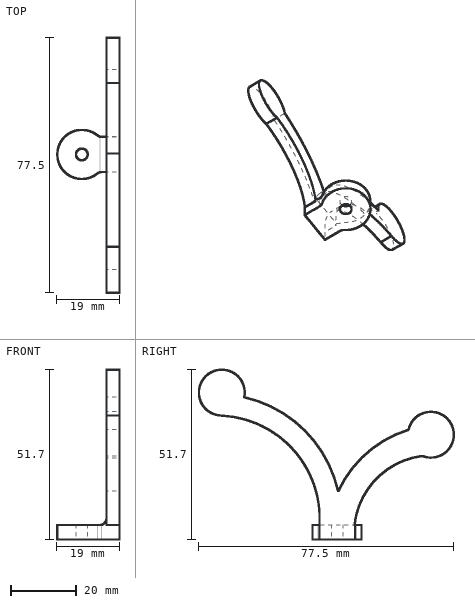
import cadquery as cq
import math

pad_radius = 7.5
foot_thickness = 4.5
hole_diameter = 3.5
neck_half_width = 5.4
neck_fillet = 2.0
selection_margin = 0.1

total_depth = 18.96
wall_thickness = 4.0
wall_back_x = total_depth - pad_radius
wall_front_x = wall_back_x - wall_thickness
foot_fillet = 2.0

knob_radius = 7.0
total_width = 77.52
total_height = 51.69
knob_spacing_y = total_width - 2 * knob_radius
high_knob_y = -35.02
low_knob_z = 31.9
high_knob = (high_knob_y, total_height - knob_radius)
low_knob = (high_knob_y + knob_spacing_y, low_knob_z)

high_arm_center = (-36.5, 6.5)
high_arm_inner_radius = 31.2
high_arm_outer_radius = 37.75
low_arm_inner_center = (28.8, 2.0)
low_arm_inner_radius = 23.6
low_arm_outer_center = (32.0, 0.1)
low_arm_outer_radius = 34.9


def top_point_on_circle(center, radius, y):
    """Point (y, z) on the upper half of a circle at the given y."""
    return (y, center[1] + math.sqrt(radius**2 - (y - center[0]) ** 2))


def side_point_on_circle(center, radius, z, side):
    """Point (y, z) on a circle at height z; side is +1 or -1 along Y."""
    return (center[0] + side * math.sqrt(radius**2 - (z - center[1]) ** 2), z)


def arc_middle(center, radius, start, end):
    """Point on a circle halfway along the short arc from start to end."""
    dy = (start[0] + end[0]) / 2 - center[0]
    dz = (start[1] + end[1]) / 2 - center[1]
    scale = radius / math.hypot(dy, dz)
    return (center[0] + dy * scale, center[1] + dz * scale)


def arm(inner_center, inner_radius, outer_center, outer_radius, knob, side):
    """Curved arm from the foot to its knob; side is the Y direction from the arc centres to the base."""
    inner_base = side_point_on_circle(inner_center, inner_radius, foot_thickness, side)
    inner_tip = top_point_on_circle(inner_center, inner_radius, knob[0])
    outer_tip = top_point_on_circle(outer_center, outer_radius, knob[0])
    outer_base = side_point_on_circle(outer_center, outer_radius, foot_thickness, side)
    curved_bar = (
        cq.Workplane("YZ", origin=(wall_front_x, 0, 0))
        .moveTo(*inner_base)
        .threePointArc(arc_middle(inner_center, inner_radius, inner_base, inner_tip), inner_tip)
        .lineTo(*outer_tip)
        .threePointArc(arc_middle(outer_center, outer_radius, outer_tip, outer_base), outer_base)
        .close()
        .extrude(wall_thickness)
    )
    knob_disc = (
        cq.Workplane("YZ", origin=(wall_front_x, 0, 0))
        .center(*knob)
        .circle(knob_radius)
        .extrude(wall_thickness)
    )
    return curved_bar.union(knob_disc)


def foot():
    """Pad and neck, with fillets where the neck meets the round pad."""
    pad = cq.Workplane("XY").circle(pad_radius).extrude(foot_thickness)
    neck = cq.Workplane("XY").box(
        wall_back_x, 2 * neck_half_width, foot_thickness, centered=(False, True, False)
    )
    junction_x = math.sqrt(pad_radius**2 - neck_half_width**2)
    junction_edges = cq.selectors.BoxSelector(
        (junction_x - selection_margin, -pad_radius, 0),
        (junction_x + selection_margin, pad_radius, foot_thickness),
    )
    return pad.union(neck).edges("|Z").edges(junction_edges).fillet(neck_fillet)


def corner_fillet():
    """Concave rounding in the corner between the foot and the wall."""
    return (
        cq.Workplane("XZ", origin=(0, neck_half_width, 0))
        .moveTo(wall_front_x, foot_thickness)
        .lineTo(wall_front_x, foot_thickness + foot_fillet)
        .radiusArc((wall_front_x - foot_fillet, foot_thickness), foot_fillet)
        .close()
        .extrude(2 * neck_half_width)
    )


high_arm = arm(
    high_arm_center, high_arm_inner_radius, high_arm_center, high_arm_outer_radius, high_knob, 1
)
low_arm = arm(
    low_arm_inner_center, low_arm_inner_radius, low_arm_outer_center, low_arm_outer_radius, low_knob, -1
)
screw_hole = cq.Workplane("XY").circle(hole_diameter / 2).extrude(foot_thickness)

result = foot().union(corner_fillet()).union(high_arm).union(low_arm).cut(screw_hole)